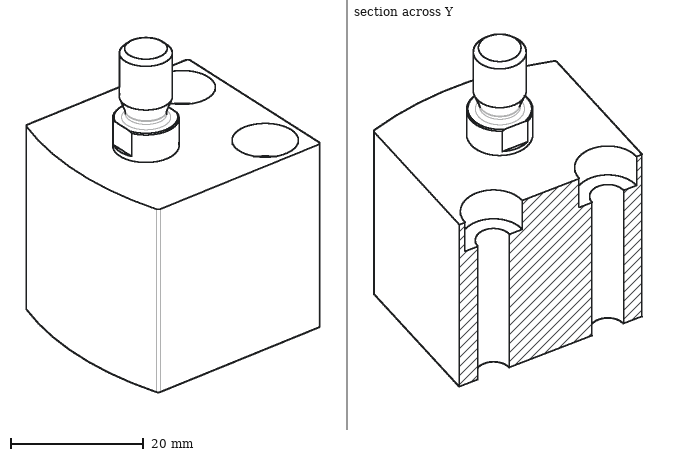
import cadquery as cq
import math

width = 32.0
depth = 33.9
housing_height = 32.0
rod_to_back = 20.95
front_bulge = 2.55
corner_radius = 0.5

hole_spacing = 20.0
hole_to_back = 6.0
hole_diameter = 5.5
counterbore_diameter = 10.0
counterbore_depth = 5.7

total_height = 49.0
collar_diameter = 10.0
collar_height = 5.0
collar_chamfer = 0.2
across_flats = 8.95
flat_base_height = 0.8
neck_diameter = 6.2
neck_length = 0.6
root_fillet = 0.6
thread_diameter = 8.0
thread_length = 8.45
tip_chamfer = 0.8
taper_fillet = 0.5

back_y = rod_to_back
front_y = back_y - depth


def make_housing():
    half_width = width / 2
    side_front_y = front_y + front_bulge
    block = (
        cq.Workplane("XY")
        .moveTo(-half_width, back_y)
        .lineTo(-half_width, side_front_y)
        .threePointArc((0, front_y), (half_width, side_front_y))
        .lineTo(half_width, back_y)
        .close()
        .extrude(housing_height)
        .edges("|Z")
        .fillet(corner_radius)
    )
    hole_y = back_y - hole_to_back
    return (
        block.faces(">Z")
        .workplane(origin=(0, 0, housing_height))
        .pushPoints([(side * hole_spacing / 2, hole_y) for side in (-1, 1)])
        .cboreHole(hole_diameter, counterbore_diameter, counterbore_depth)
    )


def make_rod_blank():
    """Revolve the rod half-profile, drawn as (radius, height), about the Z axis."""
    collar_radius = collar_diameter / 2
    neck_radius = neck_diameter / 2
    thread_radius = thread_diameter / 2
    collar_top = housing_height + collar_height
    neck_bottom = collar_top + root_fillet
    neck_top = neck_bottom + neck_length
    thread_bottom = total_height - thread_length
    fillet_mid_offset = root_fillet * (1 - math.sqrt(0.5))
    fillet_middle = (neck_radius + fillet_mid_offset, collar_top + fillet_mid_offset)
    return (
        cq.Workplane("XZ")
        .moveTo(0, housing_height)
        .lineTo(collar_radius, housing_height)
        .lineTo(collar_radius, collar_top - collar_chamfer)
        .lineTo(collar_radius - collar_chamfer, collar_top)
        .lineTo(neck_radius + root_fillet, collar_top)
        .threePointArc(fillet_middle, (neck_radius, neck_bottom))
        .lineTo(neck_radius, neck_top)
        .lineTo(thread_radius, thread_bottom)
        .lineTo(thread_radius, total_height - tip_chamfer)
        .lineTo(thread_radius - tip_chamfer, total_height)
        .lineTo(0, total_height)
        .close()
        .revolve(360, (0, 0, 0), (0, 1, 0))
        .edges(cq.selectors.NearestToPointSelector((0, 0, neck_top)))
        .fillet(taper_fillet)
    )


def make_rod():
    rod = make_rod_blank()
    flat_height = collar_height - flat_base_height
    for side in (-1, 1):
        cutter = (
            cq.Workplane("XY", origin=(0, 0, housing_height + flat_base_height))
            .center(0, side * (across_flats + collar_diameter) / 2)
            .rect(collar_diameter, collar_diameter)
            .extrude(flat_height)
        )
        rod = rod.cut(cutter)
    return rod


housing = make_housing()
rod = make_rod()

result = cq.Compound.makeCompound([housing.solids().val(), rod.solids().val()])